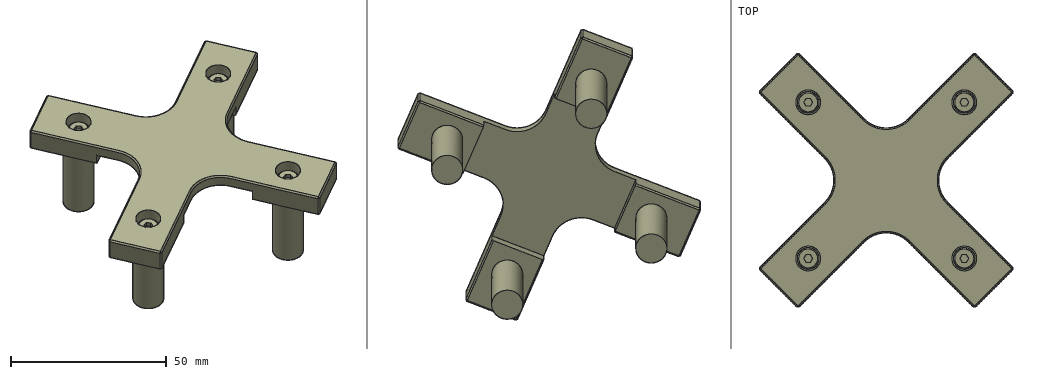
import cadquery as cq
import math

overall_size = 81.3
overall_height = 35.3

plate_thickness = 8.0
web_thickness = 4.0
arm_width = 18.0
edge_chamfer = 0.505
inner_corner_radius = 10.0
foot_start = 26.35
arm_reach = overall_size / math.sqrt(2) - arm_width / 2 + edge_chamfer

post_offset = 25.05
post_diameter = 10.0
post_length = overall_height - plate_thickness
fastener_places = [(sx * post_offset, sy * post_offset) for sx in (-1, 1) for sy in (-1, 1)]

counterbore_diameter = 8.0
head_recess = 3.0
head_height = 3.0
head_diameter = 7.0
head_top_diameter = 6.1
head_chamfer = (head_diameter - head_top_diameter) / 2
shank_diameter = 4.0
shank_depth_in_post = 8.0
socket_across_flats = 2.4
socket_depth = 1.4
head_top = plate_thickness - head_recess
head_seat = head_top - head_height


def make_plate():
    """Diagonal cross with a thinner middle, built along X and Y and then turned."""
    arm_length = 2 * arm_reach
    level = cq.Workplane("XY")
    cross = level.rect(arm_length, arm_width).extrude(plate_thickness)
    cross = cross.union(level.rect(arm_width, arm_length).extrude(plate_thickness))

    inner_half = arm_width / 2 + edge_chamfer
    inner_zone = cq.selectors.BoxSelector(
        (-inner_half, -inner_half, 0), (inner_half, inner_half, plate_thickness)
    )
    cross = cross.edges("|Z").edges(inner_zone).fillet(inner_corner_radius)

    arm_ends = cross.edges("|Z").edges("<X or >X or <Y or >Y")
    outlines = cross.faces("<Z or >Z").edges()
    cross = cross.newObject(arm_ends.vals() + outlines.vals()).chamfer(edge_chamfer)

    relief = level.rect(2 * foot_start, 2 * foot_start).extrude(plate_thickness - web_thickness)
    cross = cross.cut(relief).rotate((0, 0, 0), (0, 0, 1), 45)

    holes = level.pushPoints(fastener_places).circle(shank_diameter / 2).extrude(plate_thickness)
    counterbores = (
        cq.Workplane("XY", origin=(0, 0, head_seat))
        .pushPoints(fastener_places)
        .circle(counterbore_diameter / 2)
        .extrude(head_recess + head_height)
    )
    return cross.cut(holes).cut(counterbores)


def make_post(x, y):
    """Round post with a blind hole for the screw shank in its top end."""
    top = cq.Workplane("XY", origin=(x, y, 0))
    post = top.circle(post_diameter / 2).extrude(-post_length)
    return post.cut(top.circle(shank_diameter / 2).extrude(-shank_depth_in_post))


def make_screw(x, y):
    """Screw with a chamfered head, a hexagon socket and a plain shank."""
    seat = cq.Workplane("XY", origin=(x, y, head_seat))
    head = seat.circle(head_diameter / 2).extrude(head_height)
    head = head.faces(">Z").edges().chamfer(head_chamfer)
    shank = seat.circle(shank_diameter / 2).extrude(-(head_seat + shank_depth_in_post))
    socket_across_corners = socket_across_flats / math.cos(math.pi / 6)
    socket = (
        cq.Workplane("XY", origin=(x, y, head_top))
        .polygon(6, socket_across_corners)
        .extrude(-socket_depth)
    )
    return head.union(shank).cut(socket)


plate = make_plate()
posts = [make_post(x, y) for x, y in fastener_places]
screws = [make_screw(x, y) for x, y in fastener_places]

result = cq.Compound.makeCompound(
    [plate.val(), *[post.val() for post in posts], *[screw.val() for screw in screws]]
)